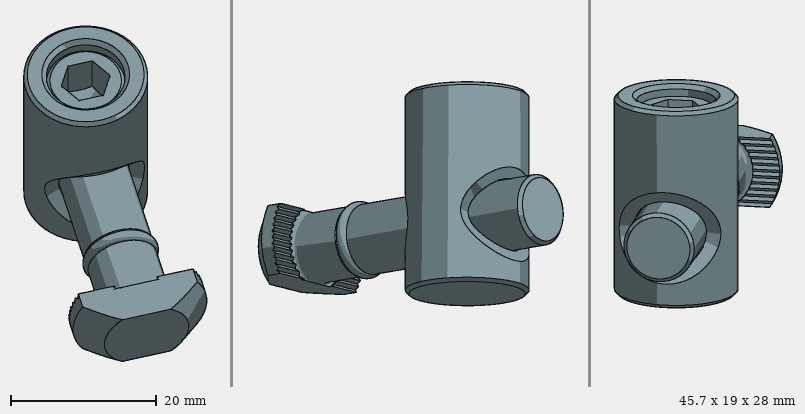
import cadquery as cq
import math


BARREL_DIA = 17.0
BARREL_TOP = 18.0
BARREL_BOTTOM = -10.0
EDGE_CHAMFER = 0.5
CROSS_HOLE_DIA = 10.0
MOUTH_WIDTH = 1.5
MOUTH_DEPTH = 0.7
MOUTH_OVERRUN = 0.2
MOUTH_POINTS = 48

SCREW_DIA = 10.8
SCREW_MOUTH_DIA = 12.0
SCREW_SETBACK = 1.5
SOCKET_FLATS = 6.0
SOCKET_DEPTH = SOCKET_FLATS
HEX_HALF_ANGLE = 30.0
SOCKET_TIP_ANGLE = 120.0

SHANK_DIA = 9.8
SHANK_START = -13.5
HEAD_START = 26.4
HEAD_END = 32.2
HEAD_DIA = 19.0
HEAD_WIDTH = 9.83
HEAD_BEVEL = 3.5
TOOTH_DEPTH = 0.45
TOOTH_PITCH = 2 * TOOTH_DEPTH
TOOTH_COUNT = 11
RELIEF_DIA = 11.5
RELIEF_DEPTH = 0.5
ROOT_RADIUS = 0.6

RING_INNER_DIA = 7.2
RING_WIRE_DIA = 1.75
RING_CENTER = 18.45
GROOVE_WIDTH = 2.0

SCREW_TOP = BARREL_TOP - SCREW_SETBACK
SCREW_BOTTOM = SHANK_DIA / 2


def x_cylinder(diameter, start, end):
    """Cylinder on the X axis between two X positions."""
    return cq.Workplane("YZ", origin=(start, 0, 0)).circle(diameter / 2).extrude(end - start)


def z_cylinder(diameter, bottom, top):
    """Cylinder on the Z axis between two Z positions."""
    return cq.Workplane("XY", origin=(0, 0, bottom)).circle(diameter / 2).extrude(top - bottom)


def mouth_ring(reach):
    """Closed curve on the mouth bevel: reach 0 lies on the hole wall, reach 1 on the barrel surface.

    Each bevel line starts MOUTH_DEPTH inside the barrel surface and ends MOUTH_WIDTH outside the
    hole wall, both measured square to those surfaces.
    """
    hole_radius = CROSS_HOLE_DIA / 2
    barrel_radius = BARREL_DIA / 2
    offset_hole_radius = hole_radius + MOUTH_WIDTH
    offset_barrel_radius = barrel_radius - MOUTH_DEPTH
    points = []
    for i in range(MOUTH_POINTS):
        turn = 2 * math.pi * i / MOUTH_POINTS
        y = offset_hole_radius * math.cos(turn)
        z = offset_hole_radius * math.sin(turn)
        x = math.sqrt(offset_barrel_radius**2 - y**2)
        inner = cq.Vector(x, hole_radius * math.cos(turn), hole_radius * math.sin(turn))
        spread = barrel_radius / offset_barrel_radius
        outer = cq.Vector(x * spread, y * spread, z)
        points.append(inner + (outer - inner) * reach)
    return points


def ring_wire(points):
    return cq.Wire.assembleEdges([cq.Edge.makeSpline(points, periodic=True)])


def make_mouth_cutter():
    """Cutter for the +X mouth: the bevel run a little past both surfaces, then straight along X."""
    inner = mouth_ring(-MOUTH_OVERRUN)
    outer = mouth_ring(1 + MOUTH_OVERRUN)
    back = [cq.Vector(0, p.y, p.z) for p in inner]
    front = [cq.Vector(BARREL_DIA, p.y, p.z) for p in outer]
    wires = [ring_wire(points) for points in (back, inner, outer, front)]
    return cq.Workplane(cq.Solid.makeLoft(wires, True))


def make_barrel():
    barrel = z_cylinder(BARREL_DIA, BARREL_BOTTOM, BARREL_TOP)
    barrel = barrel.faces("<Z or >Z").chamfer(EDGE_CHAMFER)

    barrel = barrel.cut(x_cylinder(CROSS_HOLE_DIA, -BARREL_DIA, BARREL_DIA))
    mouth = make_mouth_cutter()
    barrel = barrel.cut(mouth).cut(mouth.mirror("YZ"))

    barrel = barrel.cut(z_cylinder(SCREW_DIA, SCREW_BOTTOM, BARREL_TOP))
    mouth_chamfer = (SCREW_MOUTH_DIA - SCREW_DIA) / 2
    return barrel.faces(">Z").edges(cq.selectors.RadiusNthSelector(0)).chamfer(mouth_chamfer)


def make_set_screw():
    screw = z_cylinder(SCREW_DIA, SCREW_BOTTOM, SCREW_TOP).faces(">Z").chamfer(EDGE_CHAMFER)

    corner_radius = SOCKET_FLATS / 2 / math.cos(math.radians(HEX_HALF_ANGLE))
    socket_floor = SCREW_TOP - SOCKET_DEPTH
    socket_tip = socket_floor - corner_radius / math.tan(math.radians(SOCKET_TIP_ANGLE / 2))
    hexagon = (
        cq.Workplane("XY", origin=(0, 0, socket_tip))
        .polygon(6, 2 * corner_radius)
        .extrude(SCREW_TOP - socket_tip)
        .rotate((0, 0, 0), (0, 0, 1), HEX_HALF_ANGLE)
    )
    pointed_rod = (
        cq.Workplane("XZ")
        .moveTo(0, socket_tip)
        .lineTo(corner_radius, socket_floor)
        .lineTo(corner_radius, SCREW_TOP)
        .lineTo(0, SCREW_TOP)
        .close()
        .revolve(360, (0, 0, 0), (0, 1, 0))
    )
    return screw.cut(hexagon.intersect(pointed_rod))


def make_bolt_head():
    head = x_cylinder(HEAD_DIA, HEAD_START, HEAD_END).faces(">X").chamfer(HEAD_BEVEL)
    flat_slab = cq.Workplane("XY").box(2 * HEAD_END, HEAD_DIA, HEAD_WIDTH)
    head = head.intersect(flat_slab)

    for i in range(TOOTH_COUNT):
        z = (i - (TOOTH_COUNT - 1) / 2) * TOOTH_PITCH
        groove = (
            cq.Workplane("XZ", origin=(0, HEAD_DIA, 0))
            .moveTo(HEAD_START, z - TOOTH_PITCH / 2)
            .lineTo(HEAD_START + TOOTH_DEPTH, z)
            .lineTo(HEAD_START, z + TOOTH_PITCH / 2)
            .close()
            .extrude(2 * HEAD_DIA)
        )
        head = head.cut(groove)

    return head.cut(x_cylinder(RELIEF_DIA, HEAD_START, HEAD_START + RELIEF_DEPTH))


def make_ring_groove():
    start = RING_CENTER - GROOVE_WIDTH / 2
    end = RING_CENTER + GROOVE_WIDTH / 2
    return x_cylinder(HEAD_DIA, start, end).cut(x_cylinder(RING_INNER_DIA, start, end))


def make_bolt():
    relief_floor = HEAD_START + RELIEF_DEPTH
    shank = x_cylinder(SHANK_DIA, SHANK_START, relief_floor).faces("<X").chamfer(EDGE_CHAMFER)
    bolt = make_bolt_head().union(shank)

    root = cq.selectors.BoxSelector(
        (relief_floor - ROOT_RADIUS / 2, -SHANK_DIA, -SHANK_DIA),
        (relief_floor + ROOT_RADIUS / 2, SHANK_DIA, SHANK_DIA),
    )
    bolt = bolt.edges("%CIRCLE").edges(root).edges(cq.selectors.RadiusNthSelector(0)).fillet(ROOT_RADIUS)
    return bolt.cut(make_ring_groove())


def make_o_ring():
    path_radius = (RING_INNER_DIA + RING_WIRE_DIA) / 2
    return (
        cq.Workplane("XY")
        .center(RING_CENTER, path_radius)
        .circle(RING_WIRE_DIA / 2)
        .revolve(360, (0, -path_radius, 0), (1, -path_radius, 0))
    )


barrel = make_barrel().solids()
set_screw = make_set_screw().solids()
bolt = make_bolt().solids()
o_ring = make_o_ring().solids()

result = cq.Compound.makeCompound([barrel.val(), set_screw.val(), bolt.val(), o_ring.val()])